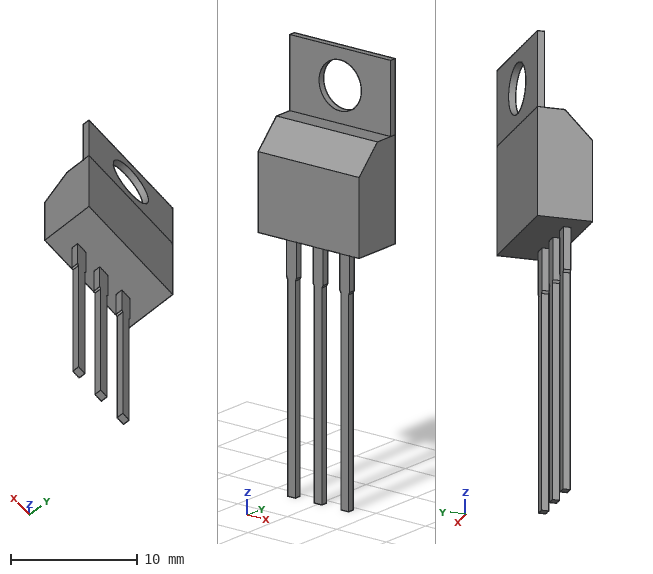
import cadquery as cq

total_height = 37.4
width = 10.2

housing_depth = 4.6
housing_height = 9.13
slope_depth = 2.32
slope_height = 2.35

tab_height = 6.35
tab_thickness = 0.6
hole_diameter = 4.25

lead_count = 3
lead_pitch = 2.7
lead_length = total_height - housing_height - tab_height
lead_thickness = 0.6
lead_setback = 3.1
wide_width = 1.0
narrow_width = 0.8
wide_length = 3.55
shoulder_height = 0.22


def make_housing():
    """Extrude the side profile, with its back at Y = 0, across the width."""
    profile = [
        (0, 0),
        (0, housing_height),
        (slope_depth - housing_depth, housing_height),
        (-housing_depth, housing_height - slope_height),
        (-housing_depth, 0),
    ]
    return cq.Workplane("YZ").polyline(profile).close().extrude(width / 2, both=True)


def make_tab():
    """Plate with a through hole at its centre."""
    plate = (
        cq.Workplane("XZ")
        .center(0, housing_height + tab_height / 2)
        .rect(width, tab_height)
        .extrude(tab_thickness)
    )
    return plate.faces("<Y").workplane(centerOption="CenterOfBoundBox").hole(hole_diameter)


def make_lead(x):
    """Lead centred at x, hanging from the housing bottom."""
    shoulder_bottom = -wide_length - shoulder_height
    right_edge = [
        (wide_width / 2, 0),
        (wide_width / 2, -wide_length),
        (narrow_width / 2, shoulder_bottom),
        (narrow_width / 2, -lead_length),
    ]
    left_edge = [(-px, pz) for px, pz in reversed(right_edge)]
    return (
        cq.Workplane("XZ")
        .polyline(right_edge + left_edge)
        .close()
        .extrude(lead_thickness / 2, both=True)
        .translate((x, -lead_setback, 0))
    )


housing = make_housing()
tab = make_tab()
first_lead_x = -lead_pitch * (lead_count - 1) / 2
leads = [make_lead(first_lead_x + i * lead_pitch) for i in range(lead_count)]

result = cq.Compound.makeCompound([housing.val(), tab.val(), *[lead.val() for lead in leads]])